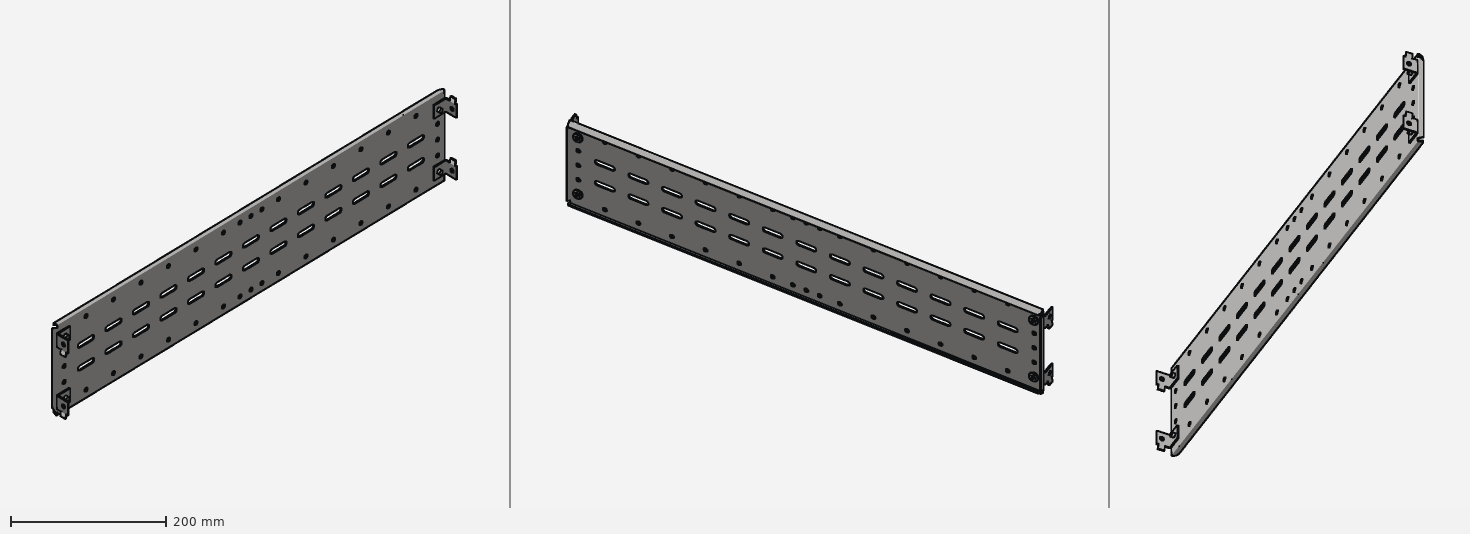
import cadquery as cq
import math

sheet = 2.0
inner_radius = 0.1
bend_radius = sheet + inner_radius
tray_front = -15.3
web_back = -5.35
side_front = -13.9
tray_length = 707.0
long_flange_length = 704.5
tray_height = 148.0
long_fold = 120
side_fold = 90
side_front_height = 128.0
tip_cut = 3.0

columns = 13
column_span = 600.0
column_pitch = column_span / (columns - 1)
column_places = [(i - (columns - 1) / 2) * column_pitch for i in range(columns)]
hole_diameter = 6.0
edge_row_height = 60.0
inner_hole_offset = 20.0
slot_length = 30.0
slot_width = 8.0
slot_row_height = 18.5
end_hole_offset = 339.5
end_hole_spacing = 25.5

screw_spacing = 100.0
bracket_height = 21.0
bracket_tip = 15.3
bracket_foot_end = 331.0
tab_lean = 1.6
leg_outer = 356 - tab_lean
tab_height = 6.5
tab_center = 8.0
tab_width = 9.0

shank_diameter = 6.5
head_diameter = 13.5
head_height = 4.0
head_chamfer = 1.8
socket_flats = 3.5
socket_depth = 2.5
shank_end = 1.1

web_front = web_back - sheet
bend_x = web_back - bend_radius


def x_cylinder(diameter, start, end, places):
    """Cylinders along X from start to end, one at each (y, z) place."""
    base = cq.Workplane("YZ", origin=(start, 0, 0))
    return base.pushPoints(places).circle(diameter / 2).extrude(end - start)


def folded_section(plane, overall, fold, front):
    """Closed outline of web and two flanges, drawn as (X, across) on the given plane."""
    bend_across = overall / 2 - bend_radius
    turn = math.radians(fold)

    def on_bend(radius, angle):
        return (bend_x + radius * math.cos(angle), bend_across + radius * math.sin(angle))

    outer_end = on_bend(bend_radius, turn)
    inner_end = on_bend(inner_radius, turn)
    reach = (outer_end[0] - front) / math.sin(turn)
    run = (-reach * math.sin(turn), reach * math.cos(turn))
    outer_tip = (outer_end[0] + run[0], outer_end[1] + run[1])
    inner_tip = (inner_end[0] + run[0], inner_end[1] + run[1])
    half = (
        cq.Workplane(plane)
        .moveTo(web_back, 0)
        .lineTo(web_back, bend_across)
        .threePointArc(on_bend(bend_radius, turn / 2), outer_end)
        .lineTo(*outer_tip)
        .lineTo(*inner_tip)
        .lineTo(*inner_end)
        .threePointArc(on_bend(inner_radius, turn / 2), (web_front, bend_across))
        .lineTo(web_front, 0)
    )
    return half.mirrorX()


def make_long_flanges():
    """Web with the two long flanges; the web stops where the end bends begin."""
    section = folded_section("XZ", tray_height, long_fold, tray_front)
    body = section.extrude(long_flange_length / 2, both=True)
    relief_height = tray_height - 2 * bend_radius
    tip_half = long_flange_length / 2
    relief_half = tray_length / 2 - bend_radius
    relief_depth = tip_half - relief_half
    for side in (-1, 1):
        relief = cq.Workplane("XY").box(sheet, relief_depth, relief_height)
        relief_y = side * (tip_half - relief_depth / 2)
        body = body.cut(relief.translate((web_back - sheet / 2, relief_y, 0)))
        corner = (
            cq.Workplane("XY", origin=(0, 0, -tray_height / 2))
            .moveTo(tray_front, side * tip_half)
            .lineTo(tray_front + tip_cut, side * tip_half)
            .lineTo(tray_front, side * (tip_half - tip_cut))
            .close()
            .extrude(tray_height)
        )
        body = body.cut(corner)
    return body


def make_end_flanges():
    """Web with the two end flanges, trimmed parallel to the leaning long flanges."""
    body = folded_section("XY", tray_length, side_fold, side_front).extrude(tray_height / 2, both=True)
    front_half = side_front_height / 2
    slope = math.tan(math.radians(long_fold - 90))
    back_half = front_half + (web_back - side_front) * slope
    trim = (
        cq.Workplane("XZ")
        .polyline([
            (side_front, -front_half),
            (web_back, -back_half),
            (web_back, back_half),
            (side_front, front_half),
        ])
        .close()
        .extrude(tray_length / 2, both=True)
    )
    return body.intersect(trim)


def make_panel():
    panel = make_long_flanges().union(make_end_flanges())

    edge_columns = column_places + [-inner_hole_offset, inner_hole_offset]
    holes = [(y, z) for y in edge_columns for z in (-edge_row_height, edge_row_height)]
    end_rows = (-end_hole_spacing, 0, end_hole_spacing)
    holes += [(y, z) for y in (-end_hole_offset, end_hole_offset) for z in end_rows]
    panel = panel.cut(x_cylinder(hole_diameter, web_front, web_back, holes))

    slots = [(y, z) for y in column_places for z in (-slot_row_height, slot_row_height)]
    slot_cutter = (
        cq.Workplane("YZ", origin=(web_front, 0, 0))
        .pushPoints(slots)
        .slot2D(slot_length, slot_width)
        .extrude(sheet)
    )
    panel = panel.cut(slot_cutter)
    return panel.cut(x_cylinder(shank_diameter, web_front, web_back, screw_places))


def make_bracket():
    """Angle bracket for the -Y end, centred on Z = 0."""
    foot_back = web_back + sheet
    angle = (
        cq.Workplane("XY", origin=(0, 0, -bracket_height / 2))
        .polyline([
            (web_back, -bracket_foot_end),
            (web_back, -leg_outer),
            (bracket_tip, -leg_outer),
            (bracket_tip, sheet - leg_outer),
            (foot_back, sheet - leg_outer),
            (foot_back, -bracket_foot_end),
        ])
        .close()
        .extrude(bracket_height)
    )
    angle = angle.edges(cq.NearestToPointSelector((web_back, -leg_outer, 0))).fillet(bend_radius)
    angle = angle.edges(cq.NearestToPointSelector((foot_back, sheet - leg_outer, 0))).fillet(inner_radius)

    root = -bracket_height / 2
    tip = root - tab_height
    tab = (
        cq.Workplane("YZ", origin=(tab_center - tab_width / 2, 0, 0))
        .polyline([
            (-leg_outer, root),
            (sheet - leg_outer, root),
            (sheet - leg_outer - tab_lean, tip),
            (-leg_outer - tab_lean, tip),
        ])
        .close()
        .extrude(tab_width)
    )
    angle = angle.union(tab)

    leg_hole = (
        cq.Workplane("XZ", origin=(0, sheet - leg_outer, 0))
        .center(tab_center, 0)
        .circle(hole_diameter / 2)
        .extrude(sheet)
    )
    foot_hole = x_cylinder(shank_diameter, web_back, foot_back, [(-end_hole_offset, 0)])
    return angle.cut(leg_hole).cut(foot_hole)


def make_screw():
    """Socket screw along X, its head seated on the front of the web."""
    head_top = web_front - head_height
    head = x_cylinder(head_diameter, head_top, web_front, [(0, 0)])
    head = head.faces("<X").edges().chamfer(head_chamfer)
    socket = (
        cq.Workplane("YZ", origin=(head_top, 0, 0))
        .polygon(6, socket_flats, circumscribed=True)
        .extrude(socket_depth)
    )
    shank = x_cylinder(shank_diameter, web_front, shank_end, [(0, 0)])
    return head.cut(socket).union(shank)


screw_rows = (-screw_spacing / 2, screw_spacing / 2)
screw_places = [(y, z) for y in (-end_hole_offset, end_hole_offset) for z in screw_rows]

panel = make_panel()

brackets = []
for half_turn in (0, 180):
    for row in screw_rows:
        placed = make_bracket().translate((0, 0, row))
        brackets.append(placed.rotate((0, 0, 0), (1, 0, 0), half_turn))

screws = [make_screw().translate((0, y, z)) for y, z in screw_places]

result = cq.Compound.makeCompound([
    panel.val(),
    *[bracket.val() for bracket in brackets],
    *[screw.val() for screw in screws],
])